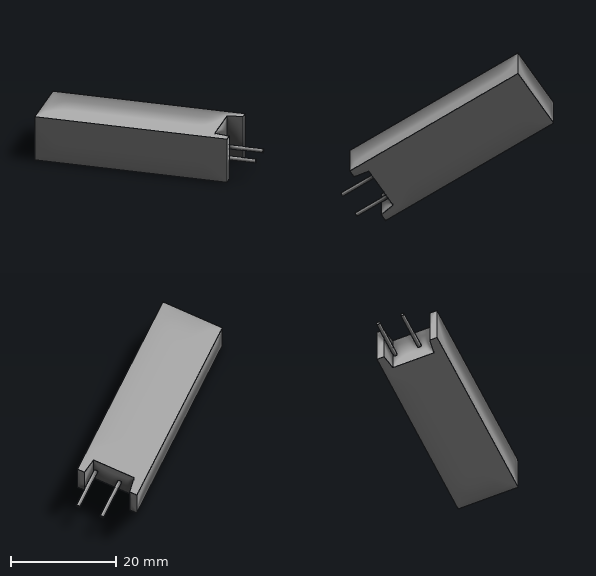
import cadquery as cq

body_length = 38.0
body_width = 12.5
body_height = 9.0

notch_depth = 3.0
notch_floor_width = 8.5
notch_mouth_width = 9.5

lead_diameter = 0.8
lead_protrusion = 5.0
lead_pitch = 5.0
lead_pair_y = -1.25
lead_z = -0.5

notch_floor_x = body_length - notch_depth
lead_length = notch_depth + lead_protrusion


def make_body():
    """Rectangular block from X = 0, centred on Y and Z."""
    return cq.Workplane("XY").box(
        body_length, body_width, body_height, centered=(False, True, True)
    )


def make_notch():
    """Cutter that widens from the notch floor to the end of the body."""
    floor_half = notch_floor_width / 2
    mouth_half = notch_mouth_width / 2
    outline = [
        (notch_floor_x, -floor_half),
        (body_length, -mouth_half),
        (body_length, mouth_half),
        (notch_floor_x, floor_half),
    ]
    return cq.Workplane("XY").polyline(outline).close().extrude(body_height / 2, both=True)


def make_lead(y):
    """Round wire standing out of the notch floor along +X."""
    return (
        cq.Workplane("YZ", origin=(notch_floor_x, y, lead_z))
        .circle(lead_diameter / 2)
        .extrude(lead_length)
    )


result = make_body().cut(make_notch())
for side in (-1, 1):
    result = result.union(make_lead(lead_pair_y + side * lead_pitch / 2))